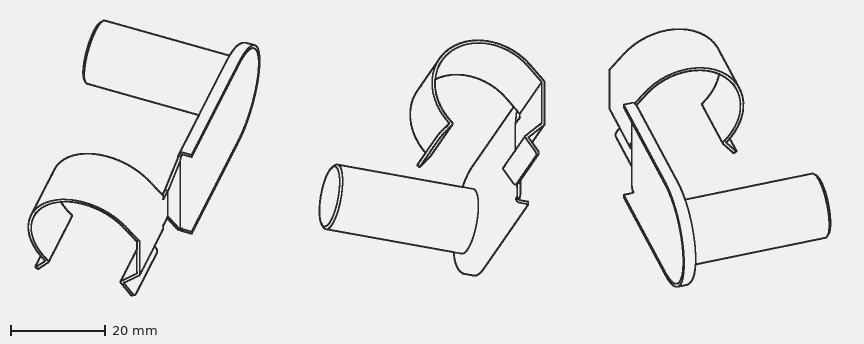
import cadquery as cq
import math

overall_length = 62
sheet = 0.7

plate_radius = 12.5
rim_depth = 2.85
rim_end_y = -28.4
fold_radius = 0.9

pin_diameter = 14.0
pin_length = 31.1
pin_y = 2.55
pin_chamfer = 0.5

neck_root_half_width = 11.7
neck_shoulder_half_width = 11.15
neck_half_width = 4.15
neck_shoulder_y = -29.0
neck_bend_start_y = -29.4
neck_bend_end_y = -32.7
neck_step = 1.6

clip_width = 14.1
clip_end_y = plate_radius - overall_length
clip_start_y = clip_end_y + clip_width
clip_radius = 12.85
clip_center_x = -13.5
tangent_angle = 43
knee_angle = 47.3
lip_tip_offset = 11.15
lip_tip_z = -12.7
lip_corner_radius = 0.75


def stadium(inset, start_x, end_x):
    """Solid with a round end at +Y and a square end at the rim end."""
    radius = plate_radius - inset
    return (
        cq.Workplane("YZ", origin=(start_x, 0, 0))
        .moveTo(rim_end_y, -radius)
        .lineTo(0, -radius)
        .threePointArc((radius, 0), (0, radius))
        .lineTo(rim_end_y, radius)
        .close()
        .extrude(end_x - start_x)
    )


def make_plate():
    tray = stadium(0, 0, rim_depth)
    tray = tray.faces("<X").edges("not <Y").fillet(fold_radius)
    cavity = stadium(sheet, sheet, rim_depth)
    cavity = cavity.faces("<X").edges("not <Y").fillet(fold_radius - sheet)
    return tray.cut(cavity)


def make_pin():
    return (
        cq.Workplane("YZ", origin=(0, pin_y, 0))
        .circle(pin_diameter / 2)
        .extrude(-pin_length)
        .faces("<X")
        .chamfer(pin_chamfer)
    )


def make_neck():
    bend_angle = math.atan2(neck_step, neck_bend_start_y - neck_bend_end_y)
    bend_shift = sheet * math.tan(bend_angle / 2)
    bent_sheet = (
        cq.Workplane("XY")
        .polyline([
            (0, rim_end_y),
            (0, neck_bend_start_y),
            (-neck_step, neck_bend_end_y),
            (-neck_step, clip_start_y),
            (sheet - neck_step, clip_start_y),
            (sheet - neck_step, neck_bend_end_y - bend_shift),
            (sheet, neck_bend_start_y - bend_shift),
            (sheet, rim_end_y),
        ])
        .close()
        .extrude(plate_radius, both=True)
    )
    upper_edge = [
        (rim_end_y, neck_root_half_width),
        (neck_shoulder_y, neck_root_half_width),
        (neck_bend_start_y, neck_shoulder_half_width),
        (neck_bend_end_y, neck_half_width),
        (clip_start_y, neck_half_width),
    ]
    lower_edge = [(y, -z) for y, z in reversed(upper_edge)]
    outline = (
        cq.Workplane("YZ", origin=(-neck_step, 0, 0))
        .polyline(upper_edge + lower_edge)
        .close()
        .extrude(neck_step + sheet)
    )
    return bent_sheet.intersect(outline)


def clip_plane():
    """XZ plane at the free end; extruding by a negative length goes toward the neck."""
    return cq.Workplane("XZ", origin=(clip_center_x, clip_end_y, 0))


def make_strip(start, end):
    """Straight strip of sheet centred on the line from start to end."""
    length = math.dist(start, end)
    angle = math.degrees(math.atan2(end[1] - start[1], end[0] - start[0]))
    return (
        clip_plane()
        .center(*start)
        .transformed(rotate=(0, 0, angle))
        .rect(length, sheet, centered=(False, True))
        .extrude(-clip_width)
    )


def make_bend(point):
    return clip_plane().center(*point).circle(sheet / 2).extrude(-clip_width)


def polar(radius, degrees):
    angle = math.radians(degrees)
    return (radius * math.cos(angle), radius * math.sin(angle))


def make_clip():
    inner_radius = clip_radius - sheet
    middle_radius = clip_radius - sheet / 2
    arc_end = 180 + knee_angle
    arc_middle = (tangent_angle + arc_end) / 2
    clip = (
        clip_plane()
        .moveTo(*polar(clip_radius, tangent_angle))
        .threePointArc(polar(clip_radius, arc_middle), polar(clip_radius, arc_end))
        .lineTo(*polar(inner_radius, arc_end))
        .threePointArc(polar(inner_radius, arc_middle), polar(inner_radius, tangent_angle))
        .close()
        .extrude(-clip_width)
    )

    tangent = math.radians(tangent_angle)
    flat_x = sheet / 2 - neck_step - clip_center_x
    flat_z = (middle_radius - flat_x * math.cos(tangent)) / math.sin(tangent)
    tangent_point = polar(middle_radius, tangent_angle)
    upper_corner = (flat_x, flat_z)
    lower_corner = (flat_x, -flat_z)
    left_knee = polar(middle_radius, arc_end)
    right_knee = polar(middle_radius, -knee_angle)

    side = [tangent_point, upper_corner, lower_corner, right_knee]
    for start, end in zip(side, side[1:]):
        clip = clip.union(make_strip(start, end))
    for point in (upper_corner, lower_corner, left_knee, right_knee):
        clip = clip.union(make_bend(point))

    for knee, tip_x in ((left_knee, -lip_tip_offset), (right_knee, lip_tip_offset)):
        lip = make_strip(knee, (tip_x, lip_tip_z))
        for y in (clip_end_y, clip_start_y):
            corner = cq.selectors.NearestToPointSelector((clip_center_x + tip_x, y, lip_tip_z))
            lip = lip.edges(corner).fillet(lip_corner_radius)
        clip = clip.union(lip)
    return clip


result = make_plate().union(make_pin()).union(make_neck()).union(make_clip())